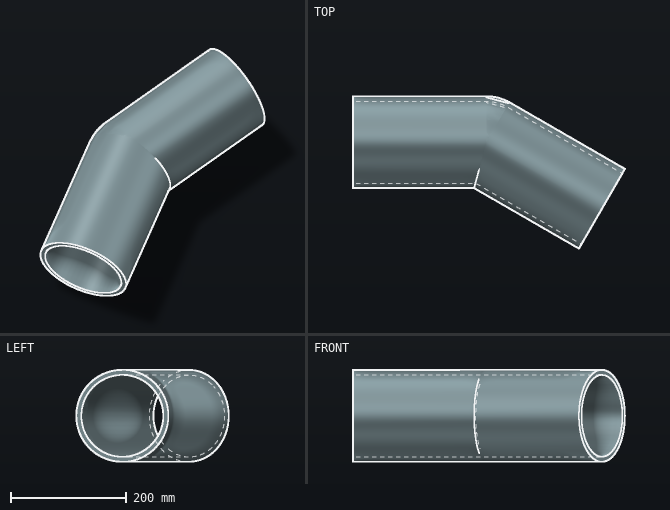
import cadquery as cq
import math

overall_length = 472.0
outer_diameter = 160.0
inner_diameter = 142.0
bend_angle = 30.0

outer_radius = outer_diameter / 2
inner_radius = inner_diameter / 2
bend = math.radians(bend_angle)

leg_length = (overall_length - outer_radius * math.sin(bend)) / (1 + math.cos(bend))

corner = cq.Vector(leg_length, 0, 0)
leg_directions = [
    cq.Vector(-1, 0, 0),
    cq.Vector(math.cos(bend), -math.sin(bend), 0),
]


def corner_wedge(radius):
    """Spherical wedge that fills the gap on the outside of the bend."""
    return (
        cq.Workplane("YZ", origin=corner.toTuple())
        .moveTo(0, -radius)
        .threePointArc((radius, 0), (0, radius))
        .close()
        .revolve(bend_angle, (0, 4.5), (0, 0))
    )


def bent_rod(radius):
    """Two solid legs joined by a rounded outer corner."""
    rod = corner_wedge(radius)
    for direction in leg_directions:
        leg = cq.Solid.makeCylinder(radius, leg_length, corner, direction)
        rod = rod.union(cq.Workplane(leg))
    return rod


result = bent_rod(outer_radius).cut(bent_rod(inner_radius))